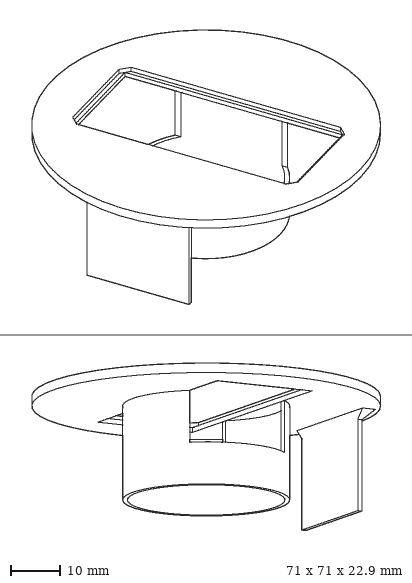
import cadquery as cq

plate_diameter = 71.0
plate_thickness = 2.0

window_length = 50.0
window_width = 22.0
window_offset_x = 0.6
ledge_width = 0.9
ledge_depth = 1.0

collar_outer_diameter = 34.0
collar_inner_diameter = 32.0
collar_bottom = -21.45
slot_floor = -12.7

tab_length = 23.5
tab_thickness = 1.0
tab_inner_y = -28.75
tab_bottom = -22.9
flare = 2.0

plate_bottom = -plate_thickness


def make_window_cutter():
    """Straight opening plus a chamfered rim whose bevels pass through the opening's corners."""
    opening = cq.Workplane("XY").rect(window_length, window_width).extrude(plate_bottom)
    rim = (
        cq.Workplane("XY")
        .rect(window_length + 2 * ledge_width, window_width + 2 * ledge_width)
        .extrude(-ledge_depth)
        .edges("|Z")
        .chamfer(2 * ledge_width)
    )
    return opening.union(rim).translate((window_offset_x, 0, 0))


def make_tab():
    """Flat tab whose root widens at 45 degrees on its outer face and both ends."""
    outer_y = tab_inner_y - tab_thickness
    blade = (
        cq.Workplane("XY")
        .box(tab_length, tab_thickness, plate_bottom - tab_bottom, centered=(True, False, False))
        .translate((0, outer_y, tab_bottom))
    )

    root_length = tab_length + 2 * flare
    root_thickness = tab_thickness + flare
    half_tab = tab_length / 2
    half_root = root_length / 2
    end_bevelled = (
        cq.Workplane("XZ", origin=(0, tab_inner_y, 0))
        .moveTo(-half_root, plate_bottom)
        .lineTo(half_root, plate_bottom)
        .lineTo(half_tab, plate_bottom - flare)
        .lineTo(-half_tab, plate_bottom - flare)
        .close()
        .extrude(root_thickness)
    )
    face_bevelled = (
        cq.Workplane("YZ", origin=(-half_root, 0, 0))
        .moveTo(tab_inner_y, plate_bottom)
        .lineTo(outer_y - flare, plate_bottom)
        .lineTo(outer_y, plate_bottom - flare)
        .lineTo(tab_inner_y, plate_bottom - flare)
        .close()
        .extrude(root_length)
    )
    root = end_bevelled.intersect(face_bevelled)
    return blade.union(root)


def make_cover():
    """Round plate with its window and hanging tab."""
    plate = cq.Workplane("XY").circle(plate_diameter / 2).extrude(plate_bottom)
    return plate.cut(make_window_cutter()).union(make_tab())


def make_collar():
    """Thin ring with a slot across its top, as wide as the window."""
    height = plate_bottom - collar_bottom
    ring = (
        cq.Workplane("XY", origin=(0, 0, collar_bottom))
        .circle(collar_outer_diameter / 2)
        .circle(collar_inner_diameter / 2)
        .extrude(height)
    )
    slot = (
        cq.Workplane("XY", origin=(0, 0, slot_floor))
        .rect(collar_outer_diameter, window_width)
        .extrude(plate_bottom - slot_floor)
    )
    return ring.cut(slot)


cover = make_cover()
collar = make_collar()

result = cq.Compound.makeCompound([cover.val(), collar.val()])